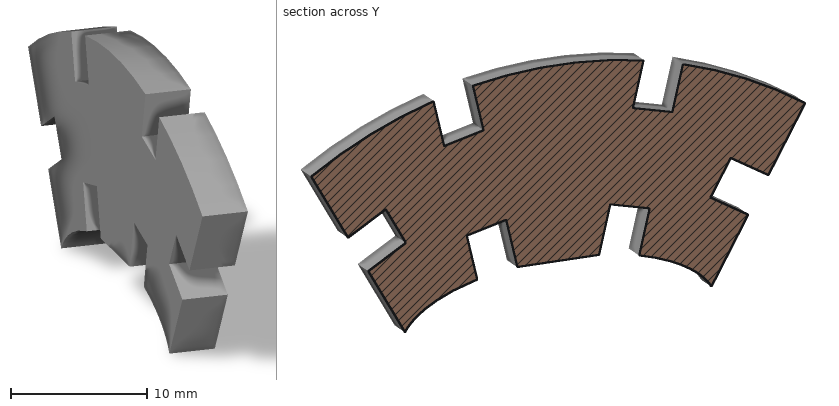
import cadquery as cq
import math

length = 40.0
thickness = 3.5
height = 19.0
outer_radius = 37.2
end_angle = 60.0

ellipse_half_width = 12.75
ellipse_half_height = 5.25
flat_z = -15.25

notch_width = 3.25
notch_depth = thickness
notch_tilt = 13.5
outer_floor_x, outer_floor_z = 7.65, -4.6
inner_floor_x, inner_floor_z = 5.8, -11.85
cutter_length = 1.4 * notch_depth

half_length = length / 2
outer_corner_z = math.sqrt(outer_radius**2 - half_length**2) - outer_radius
end_run = (outer_corner_z + height) / math.tan(math.radians(end_angle))
inner_corner_x = half_length - end_run
ellipse_center_z = -height - ellipse_half_height * math.sqrt(1 - (inner_corner_x / ellipse_half_width) ** 2)


def make_plate():
    """Arched plate with sloping ends, before the inner edge is shaped."""
    return (
        cq.Workplane("XZ")
        .moveTo(-half_length, outer_corner_z)
        .threePointArc((0, 0), (half_length, outer_corner_z))
        .lineTo(inner_corner_x, -height)
        .lineTo(-inner_corner_x, -height)
        .close()
        .extrude(thickness)
    )


def make_inner_opening():
    """Elliptical opening, cut off level at the flat."""
    ellipse = (
        cq.Workplane("XZ")
        .center(0, ellipse_center_z)
        .ellipse(ellipse_half_width, ellipse_half_height)
        .extrude(thickness)
    )
    below_flat = (
        cq.Workplane("XZ")
        .center(0, flat_z - height / 2)
        .rect(length, height)
        .extrude(thickness)
    )
    return ellipse.intersect(below_flat)


def make_notch(floor_x, floor_z, direction):
    """Notch running from its floor's middle, at an angle measured from +X toward +Z."""
    return (
        cq.Workplane("XZ", origin=(floor_x, 0, floor_z))
        .transformed(rotate=(0, 0, direction))
        .center(cutter_length / 2, 0)
        .rect(cutter_length, notch_width)
        .extrude(thickness)
    )


end_outward = end_angle - 90
end_floor_x = (half_length + inner_corner_x) / 2 - notch_depth * math.cos(math.radians(end_outward))
end_floor_z = (outer_corner_z - height) / 2 - notch_depth * math.sin(math.radians(end_outward))

right_notches = [
    (outer_floor_x, outer_floor_z, 90 - notch_tilt),
    (inner_floor_x, inner_floor_z, 270 - notch_tilt),
    (end_floor_x, end_floor_z, end_outward),
]

result = make_plate().cut(make_inner_opening())
for floor_x, floor_z, direction in right_notches:
    notch = make_notch(floor_x, floor_z, direction)
    result = result.cut(notch).cut(notch.mirror("YZ"))